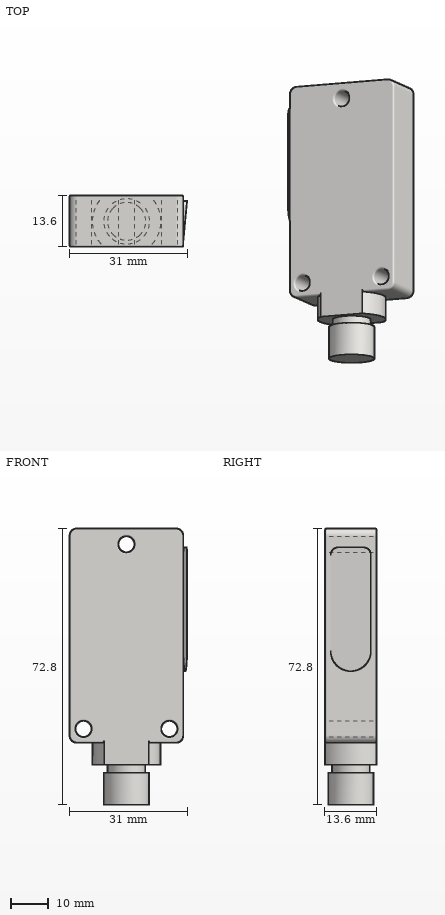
import cadquery as cq

body_width = 30.0
body_depth = 13.6
body_height = 56.5
corner_radius = 2.0
edge_radius = 0.5

collar_diameter = 18.0
collar_height = 5.8
neck_diameter = 10.0
neck_height = 2.0
nut_diameter = 12.0
nut_height = 8.5

hole_diameter = 4.2
bottom_hole_spacing = 22.6
bottom_hole_height = 3.7
top_hole_drop = 4.2

window_projection = 1.0
window_top_drop = 5.0
window_length = 32.6
window_width = 10.6
window_corner_radius = 2.0

half_width = body_width / 2
half_depth = body_depth / 2


def make_housing():
    housing = cq.Workplane("XY").box(body_width, body_depth, body_height, centered=(True, True, False))
    housing = housing.edges("|Y").fillet(corner_radius)
    hole_positions = [
        (0, body_height - top_hole_drop),
        (-bottom_hole_spacing / 2, bottom_hole_height),
        (bottom_hole_spacing / 2, bottom_hole_height),
    ]
    holes = (
        cq.Workplane("XZ")
        .pushPoints(hole_positions)
        .circle(hole_diameter / 2)
        .extrude(half_depth, both=True)
    )
    return housing.cut(holes).faces("<Y or >Y").edges().fillet(edge_radius)


def cylinder_below(diameter, top, height):
    return cq.Workplane("XY").workplane(offset=top).circle(diameter / 2).extrude(-height)


def make_connector():
    collar = cylinder_below(collar_diameter, edge_radius, collar_height + edge_radius)
    slab = cq.Workplane("XY").box(collar_diameter, body_depth, 2 * collar_height)
    neck_top = -collar_height
    nut_top = neck_top - neck_height
    neck = cylinder_below(neck_diameter, neck_top, neck_height)
    nut = cylinder_below(nut_diameter, nut_top, nut_height)
    return collar.intersect(slab).union(neck).union(nut)


def make_window():
    top = body_height - window_top_drop
    bottom = top - window_length
    half = window_width / 2
    outline = (
        cq.Workplane("YZ", origin=(half_width, 0, 0))
        .moveTo(-half, bottom + half)
        .threePointArc((0, bottom), (half, bottom + half))
        .lineTo(half, top - window_corner_radius)
        .radiusArc((half - window_corner_radius, top), -window_corner_radius)
        .lineTo(-half + window_corner_radius, top)
        .radiusArc((-half, top - window_corner_radius), -window_corner_radius)
        .close()
        .extrude(window_projection)
    )
    wedge = (
        cq.Workplane("XY", origin=(half_width, 0, bottom))
        .moveTo(0, -half)
        .lineTo(window_projection, half)
        .lineTo(0, half)
        .close()
        .extrude(window_length)
    )
    return outline.intersect(wedge)


result = make_housing().union(make_connector()).union(make_window())